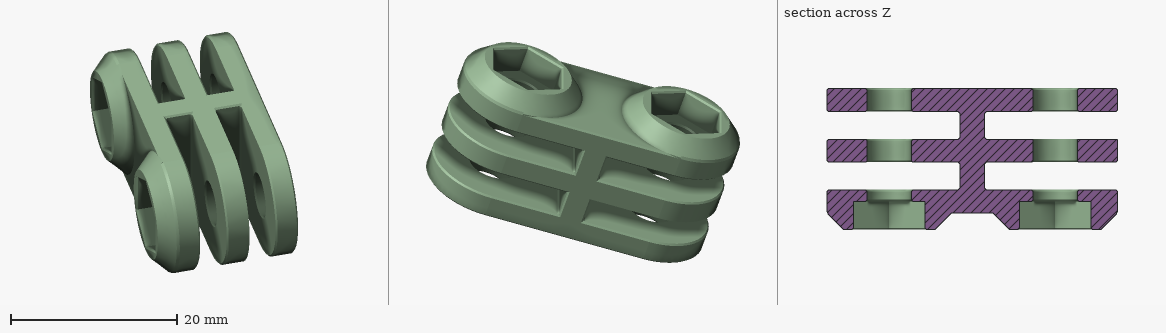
import cadquery as cq
import math

length = 35.0
height = 15.0
end_radius = height / 2
axis_x = length / 2 - end_radius

total_depth = 17.0
boss_height = 2.0
body_depth = total_depth - boss_height
fin_count = 3
fin_thickness = 2.8
gap = (body_depth - fin_count * fin_thickness) / (fin_count - 1)
web_thickness = 3.0
edge_chamfer = 0.2

hole_diameter = 5.3
nut_across_flats = 8.5
nut_depth = 3.4

boss_top_y = -total_depth / 2
front_y = boss_top_y + boss_height
nut_floor_y = boss_top_y + nut_depth
middle_fin_back_y = front_y + 2 * fin_thickness + gap
position_tolerance = 0.005


def plane_at(y, x=0.0):
    """XZ plane at depth y whose normal points towards the back (+Y)."""
    return cq.Workplane(cq.Plane(origin=(x, y, 0), xDir=(1, 0, 0), normal=(0, 1, 0)))


def revolve_about_y(profile, angle=360):
    """Turn a closed (radius, y) profile about the Y axis."""
    return cq.Workplane("XY").polyline(profile).close().revolve(angle, (0, 0), (0, 1))


def make_body():
    """Obround block with two full-height slots cut in from each end and two bolt holes."""
    body = plane_at(front_y).slot2D(length, height).extrude(body_depth)
    slot_length = (length - web_thickness) / 2
    slot_x = (web_thickness + slot_length) / 2
    for index in range(fin_count - 1):
        slot_y = front_y + fin_thickness + gap / 2 + index * (fin_thickness + gap)
        for side in (-1, 1):
            slot = cq.Workplane("XY").box(slot_length, gap, height)
            body = body.cut(slot.translate((side * slot_x, slot_y, 0)))
    for side in (-1, 1):
        hole = plane_at(front_y, side * axis_x).circle(hole_diameter / 2).extrude(body_depth)
        body = body.cut(hole)
    return body


def on_sharp_face(edge):
    """True on the back face of the middle fin at +X, the one fin face left without chamfers."""
    center = edge.Center()
    return center.x > web_thickness / 2 and abs(center.y - middle_fin_back_y) < position_tolerance


def on_web_mouth(edge):
    """True for edges along Y where a slot floor meets the top or bottom of the web."""
    return abs(abs(edge.Center().x) - web_thickness / 2) < position_tolerance


def chamfer_body(body):
    """Chamfer the fin outlines, hole rims and slot mouths, then fill the slot root corners."""
    fin_rims = body.edges("not(|Y or |Z)").filter(lambda edge: not on_sharp_face(edge))
    web_mouths = body.edges("|Y").filter(on_web_mouth)
    body = fin_rims.add(web_mouths).chamfer(edge_chamfer)
    slot_roots = body.edges("|Z")
    return slot_roots.chamfer(edge_chamfer)


def make_boss(side):
    """45 degree cone on the front fin, bevelled where it meets the rounded end (side 1 is +X, -1 is -X)."""
    skirt_y = front_y + edge_chamfer
    cone = revolve_about_y([
        (0, skirt_y),
        (end_radius, skirt_y),
        (end_radius, front_y),
        (end_radius - boss_height, boss_top_y),
        (0, boss_top_y),
    ])
    setback = edge_chamfer / math.sqrt(2)
    bevel_profile = [
        (end_radius, skirt_y),
        (end_radius + edge_chamfer, skirt_y),
        (end_radius + edge_chamfer, front_y - setback),
        (end_radius - setback, front_y - setback),
    ]
    bevel = revolve_about_y(bevel_profile, 180).rotate((0, 0, 0), (0, 1, 0), -90 * side)
    return cone.cut(bevel).translate((side * axis_x, 0, 0))


def make_nut_pocket(x):
    """Hexagonal pocket, one corner up, with a chamfered mouth and a chamfered hole rim in its floor."""
    pocket = plane_at(boss_top_y, x).polygon(6, nut_across_flats, circumscribed=True).extrude(nut_depth)
    mouth = (
        plane_at(boss_top_y, x)
        .polygon(6, nut_across_flats + 2 * edge_chamfer, circumscribed=True)
        .workplane(offset=edge_chamfer)
        .polygon(6, nut_across_flats, circumscribed=True)
        .loft(ruled=True)
    )
    hole_radius = hole_diameter / 2
    hole_rim = revolve_about_y([
        (0, nut_floor_y),
        (hole_radius + edge_chamfer, nut_floor_y),
        (hole_radius, nut_floor_y + edge_chamfer),
        (0, nut_floor_y + edge_chamfer),
    ])
    return pocket.union(mouth).union(hole_rim.translate((x, 0, 0)))


result = chamfer_body(make_body())
for side in (-1, 1):
    result = result.union(make_boss(side))
    result = result.cut(make_nut_pocket(side * axis_x))